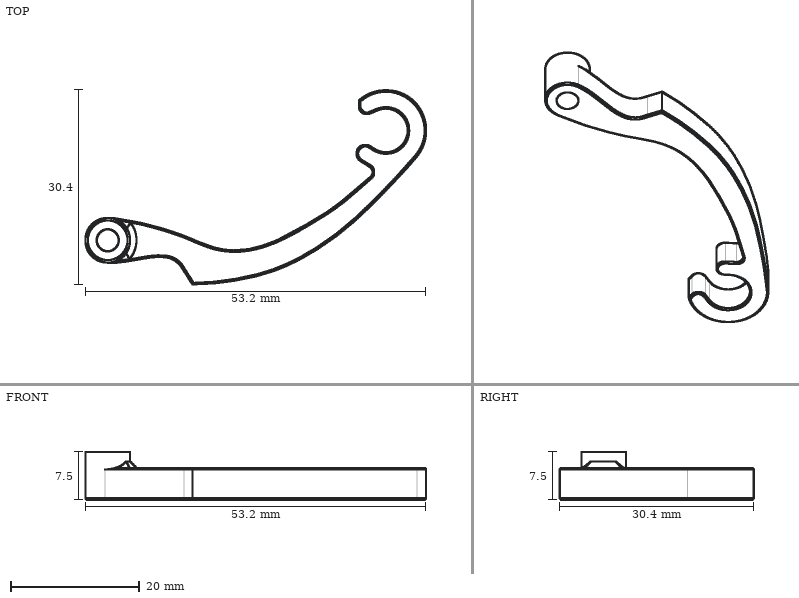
import cadquery as cq
import math

ARM_HEIGHT = 5.0
BOSS_HEIGHT = 7.5
EDGE_CHAMFER = 0.25

BOSS_RADIUS = 3.5
HOLE_DIAMETER = 3.4
SINK_DIAMETER = 6.2
SINK_ANGLE = 90.0

SKIRT_SIZE = 1.0
SKIRT_TAPER = 45.0
SKIRT_LOWER_EDGE = [(0.9, -3.58), (7.0, -2.63)]
SKIRT_UPPER_EDGE = [(7.0, 2.42), (0.9, 3.48)]

HOOK_CENTER = (43.44, 17.15)
HOOK_OUTER_RADIUS = 6.3
HOOK_INNER_RADIUS = 3.4
UPPER_TIP_CENTER = (40.47, 20.97)
UPPER_TIP_RADIUS = 1.27
UPPER_TIP_MIDDLE_ANGLE = 235.0
LOWER_TIP_CENTER = (40.23, 13.53)
LOWER_TIP_RADIUS = 1.38
LOWER_TIP_MIDDLE_ANGLE = 150.0
HOOK_MIDDLE_ANGLE = 45.0
BACK_JOIN_ANGLE = -40.0

THROAT_CENTER = (40.37, 10.63)
THROAT_RADIUS = 1.0
THROAT_END_ANGLE = -50.0

NECK_JOIN_ANGLE = 97.0
HEEL_CURVE_END = (11.95, -4.85)
HEEL_CORNER = (13.25, -6.9)

INNER_EDGE = [(36.13, 5.72), (31.5, 2.7), (26.5, 0.02), (22.1, -1.37), (19.6, -1.57),
              (16.4, -1.07), (12.17, 0.6), (8.7, 1.79), (5.17, 2.72), (1.5, 3.38)]
LOWER_NECK_EDGE = [(1.3, -3.51), (5.06, -2.93), (8.2, -2.58), (9.64, -2.76), (10.52, -3.17), (11.23, -3.77)]
BACK_EDGE = [(19.0, -6.43), (26.2, -4.68), (32.8, -1.33), (38.2, 2.72), (44.5, 8.92)]


def on_circle(center, radius, degrees):
    """Point on a circle at an angle from +X."""
    angle = math.radians(degrees)
    return (center[0] + radius * math.cos(angle), center[1] + radius * math.sin(angle))


def direction(degrees):
    """Unit vector at an angle from +X."""
    return on_circle((0, 0), 1, degrees)


def cross_tangent(center_a, radius_a, center_b, radius_b, side):
    """Touching points of the tangent line that crosses between two circles."""
    dx = center_b[0] - center_a[0]
    dy = center_b[1] - center_a[1]
    swing = math.degrees(math.acos((radius_a + radius_b) / math.hypot(dx, dy)))
    angle = math.degrees(math.atan2(dy, dx)) + side * swing
    return on_circle(center_a, radius_a, angle), on_circle(center_b, radius_b, angle + 180)


def arm_outline():
    """Closed outline of the eye, neck, arm and hook, running counter-clockwise."""
    upper_tip_end, hook_upper = cross_tangent(
        UPPER_TIP_CENTER, UPPER_TIP_RADIUS, HOOK_CENTER, HOOK_INNER_RADIUS, -1)
    lower_tip_start, hook_lower = cross_tangent(
        LOWER_TIP_CENTER, LOWER_TIP_RADIUS, HOOK_CENTER, HOOK_INNER_RADIUS, 1)
    hook_outer_middle = on_circle(HOOK_CENTER, HOOK_OUTER_RADIUS, HOOK_MIDDLE_ANGLE)
    upper_tip_start = on_circle(UPPER_TIP_CENTER, UPPER_TIP_RADIUS, 180)
    corner_rise = math.sqrt(HOOK_OUTER_RADIUS**2 - (HOOK_CENTER[0] - upper_tip_start[0])**2)
    upper_tip_corner = (upper_tip_start[0], HOOK_CENTER[1] + corner_rise)

    lower_tip_end, throat_start = cross_tangent(
        LOWER_TIP_CENTER, LOWER_TIP_RADIUS, THROAT_CENTER, THROAT_RADIUS, -1)
    throat_middle = on_circle(THROAT_CENTER, THROAT_RADIUS, 0)
    throat_end = on_circle(THROAT_CENTER, THROAT_RADIUS, THROAT_END_ANGLE)

    back_join = on_circle(HOOK_CENTER, HOOK_OUTER_RADIUS, BACK_JOIN_ANGLE)
    neck_upper = on_circle((0, 0), BOSS_RADIUS, NECK_JOIN_ANGLE)
    neck_lower = on_circle((0, 0), BOSS_RADIUS, -NECK_JOIN_ANGLE)
    heel_slope = (HEEL_CORNER[0] - HEEL_CURVE_END[0], HEEL_CORNER[1] - HEEL_CURVE_END[1])

    return (
        cq.Workplane("XY")
        .moveTo(*neck_lower)
        .spline(LOWER_NECK_EDGE + [HEEL_CURVE_END],
                tangents=[direction(90 - NECK_JOIN_ANGLE), heel_slope],
                includeCurrent=True)
        .lineTo(*HEEL_CORNER)
        .spline(BACK_EDGE + [back_join], tangents=[(1, 0), direction(BACK_JOIN_ANGLE + 90)],
                includeCurrent=True)
        .threePointArc(hook_outer_middle, upper_tip_corner)
        .lineTo(*upper_tip_start)
        .threePointArc(on_circle(UPPER_TIP_CENTER, UPPER_TIP_RADIUS, UPPER_TIP_MIDDLE_ANGLE), upper_tip_end)
        .lineTo(*hook_upper)
        .threePointArc(on_circle(HOOK_CENTER, HOOK_INNER_RADIUS, 0), hook_lower)
        .lineTo(*lower_tip_start)
        .threePointArc(on_circle(LOWER_TIP_CENTER, LOWER_TIP_RADIUS, LOWER_TIP_MIDDLE_ANGLE), lower_tip_end)
        .lineTo(*throat_start)
        .threePointArc(throat_middle, throat_end)
        .spline(INNER_EDGE + [neck_upper],
                tangents=[direction(THROAT_END_ANGLE - 90), direction(NECK_JOIN_ANGLE + 90)],
                includeCurrent=True)
        .threePointArc((-BOSS_RADIUS, 0), neck_lower)
        .close()
    )


def arm():
    return arm_outline().extrude(ARM_HEIGHT).faces("|Z").edges().chamfer(EDGE_CHAMFER)


def boss():
    return (
        cq.Workplane("XY").circle(BOSS_RADIUS).extrude(BOSS_HEIGHT)
        .faces("<Z").edges().chamfer(EDGE_CHAMFER)
    )


def skirt():
    """Cone around the boss, cut off by planes that carry on the chamfers of the neck."""
    base = ARM_HEIGHT - EDGE_CHAMFER
    height = SKIRT_SIZE + EDGE_CHAMFER
    neck_block = (
        cq.Workplane("XY", origin=(0, 0, base))
        .polyline(SKIRT_LOWER_EDGE + SKIRT_UPPER_EDGE)
        .close()
        .extrude(height, taper=SKIRT_TAPER)
    )
    cone = cq.Workplane(cq.Solid.makeCone(
        BOSS_RADIUS + height, BOSS_RADIUS, height, pnt=cq.Vector(0, 0, base)))
    return neck_block.intersect(cone)


body = arm().union(boss()).union(skirt())
result = body.faces(">Z").workplane(origin=(0, 0, BOSS_HEIGHT)).cskHole(
    HOLE_DIAMETER, SINK_DIAMETER, SINK_ANGLE)